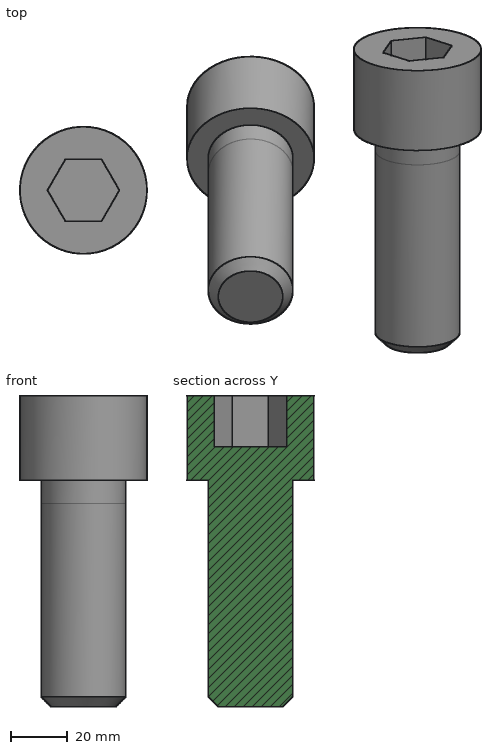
import cadquery as cq
import math

head_diameter = 45.0
head_height = 30.0
shank_diameter = 30.0
shank_length = 80.0
neck_length = 8.0
tip_chamfer = 3.6
hex_across_flats = 22.0
hex_across_corners = hex_across_flats / math.cos(math.pi / 6)
socket_depth = 18.0


def make_head():
    return cq.Workplane("XY").circle(head_diameter / 2).extrude(head_height)


def make_neck():
    return cq.Workplane("XY").circle(shank_diameter / 2).extrude(-neck_length)


def make_threaded_length():
    start = cq.Workplane("XY").workplane(offset=-neck_length)
    shank = start.circle(shank_diameter / 2).extrude(neck_length - shank_length)
    return shank.faces("<Z").chamfer(tip_chamfer)


def make_socket():
    top = cq.Workplane("XY").workplane(offset=head_height)
    return top.polygon(6, hex_across_corners).extrude(-socket_depth)


screw = make_head().union(make_neck(), clean=False)
screw = screw.union(make_threaded_length(), clean=False)
result = screw.cut(make_socket(), clean=False)